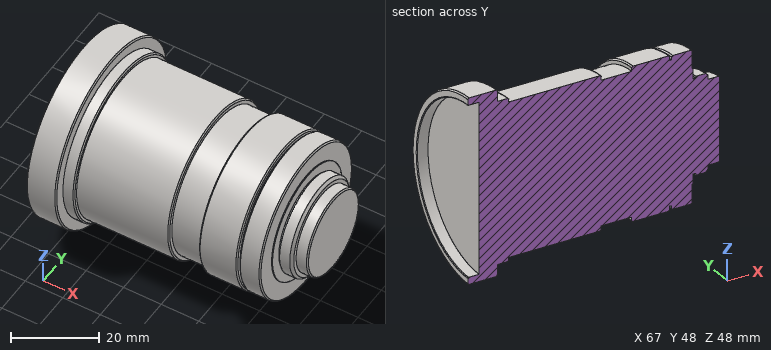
import cadquery as cq

flange_end = 8.0
shoulder_end = 11.0
barrel_end = 35.6
neck_end = 43.55
focus_ring_end = 53.75
rear_ring_start = 54.15
rear_ring_end = 59.75
rear_pad_end = 60.0
mount_neck_end = 60.6
mount_flange_end = 63.9
total_length = 67.0

flange_diameter = 48.0
shoulder_diameter = 42.0
barrel_diameter = 40.0
neck_diameter = 37.5
rear_ring_diameter = 39.6
rear_pad_diameter = 29.9
mount_neck_diameter = 24.5
mount_flange_diameter = 25.5
mount_diameter = 22.2
recess_diameter = 44.0

recess_depth = 3.0
edge_chamfer = 0.35
mount_flange_chamfer = 0.7
recess_chamfer = 0.2


def disc(start, end, diameter):
    """Cylinder on the X axis between two axial positions."""
    return cq.Workplane("YZ", origin=(start, 0, 0)).circle(diameter / 2).extrude(end - start)


def chamfered_disc(start, end, diameter, edges="<X or >X", chamfer=edge_chamfer):
    """Disc with the rims at the selected ends chamfered."""
    return disc(start, end, diameter).faces(edges).edges().chamfer(chamfer)


sections = [
    chamfered_disc(0, flange_end, flange_diameter),
    chamfered_disc(flange_end, shoulder_end, shoulder_diameter, ">X"),
    chamfered_disc(shoulder_end, barrel_end, barrel_diameter, ">X"),
    disc(barrel_end, neck_end, neck_diameter),
    chamfered_disc(neck_end, focus_ring_end, barrel_diameter),
    disc(focus_ring_end, rear_ring_start, neck_diameter),
    chamfered_disc(rear_ring_start, rear_ring_end, rear_ring_diameter),
    disc(rear_ring_end, rear_pad_end, rear_pad_diameter),
    disc(rear_pad_end, mount_neck_end, mount_neck_diameter),
    chamfered_disc(mount_neck_end, mount_flange_end, mount_flange_diameter, ">X", mount_flange_chamfer),
    chamfered_disc(mount_flange_end, total_length, mount_diameter, ">X"),
]
body = sections[0]
for section in sections[1:]:
    body = body.union(section)

recess = disc(0, recess_depth, recess_diameter)
mouth = (
    cq.Workplane("YZ")
    .circle(recess_diameter / 2 + recess_chamfer)
    .workplane(offset=recess_chamfer)
    .circle(recess_diameter / 2)
    .loft()
)

result = body.cut(recess).cut(mouth)